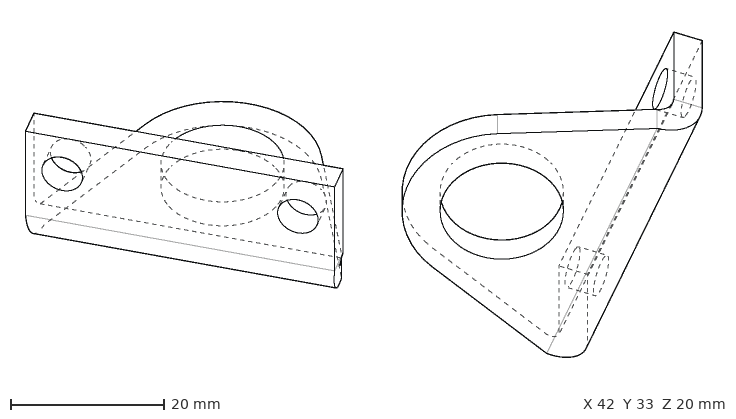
import cadquery as cq
import math

width = 42.0
depth = 33.0
height = 20.0
thickness = 4.0

bend_inner_radius = 2.0
bend_outer_radius = bend_inner_radius + thickness
bend_side_inset = 0.8

foot_end_radius = 13.0
foot_hole_diameter = 16.1
foot_hole_y = depth - foot_end_radius

wall_hole_diameter = 5.5
wall_hole_spacing = 32.0
wall_hole_z = height - 6.0


def make_wall():
    """Upright plate with its two mounting holes through Y."""
    wall_height = height - bend_outer_radius
    wall = cq.Workplane("XY").box(width, thickness, wall_height, centered=(True, False, False))
    wall = wall.translate((0, 0, bend_outer_radius))
    holes = (
        cq.Workplane("XZ", origin=(0, 0, wall_hole_z))
        .rarray(wall_hole_spacing, 0.4, 2, 1)
        .circle(wall_hole_diameter / 2)
        .extrude(-thickness)
    )
    return wall.cut(holes)


def make_foot():
    """Flat plate whose straight sides run tangent into the rounded end."""
    half_base = width / 2 - bend_side_inset
    rise = foot_hole_y - bend_outer_radius
    corner_distance = math.hypot(half_base, rise)
    tangent_angle = math.acos(foot_end_radius / corner_distance) - math.atan2(rise, half_base)
    tangent_x = foot_end_radius * math.cos(tangent_angle)
    tangent_y = foot_hole_y + foot_end_radius * math.sin(tangent_angle)
    foot = (
        cq.Workplane("XY")
        .moveTo(-half_base, bend_outer_radius)
        .lineTo(half_base, bend_outer_radius)
        .lineTo(tangent_x, tangent_y)
        .threePointArc((0, depth), (-tangent_x, tangent_y))
        .close()
        .extrude(thickness)
    )
    hole = cq.Workplane("XY").center(0, foot_hole_y).circle(foot_hole_diameter / 2).extrude(thickness)
    return foot.cut(hole)


def quarter_ring(start_x, inner_radius, outer_radius):
    """Outline of the -Y, -Z quarter of a ring around the bend axis."""
    diagonal = -math.sqrt(0.5)
    return (
        cq.Workplane("YZ", origin=(start_x, bend_outer_radius, bend_outer_radius))
        .moveTo(-outer_radius, 0)
        .threePointArc((diagonal * outer_radius, diagonal * outer_radius), (0, -outer_radius))
        .lineTo(0, -inner_radius)
        .threePointArc((diagonal * inner_radius, diagonal * inner_radius), (-inner_radius, 0))
        .close()
    )


def make_bend():
    """Quarter bend that narrows evenly with bend angle, from the wall to the foot."""
    bend = quarter_ring(-width / 2, bend_inner_radius, bend_outer_radius).extrude(width)
    trim_inner_radius = bend_inner_radius / 2
    trim_outer_radius = bend_outer_radius * 1.5
    trim = quarter_ring(-width / 2, trim_inner_radius, trim_outer_radius).twistExtrude(bend_side_inset, 90)
    return bend.cut(trim).cut(trim.mirror("YZ"))


result = make_wall().union(make_bend()).union(make_foot())